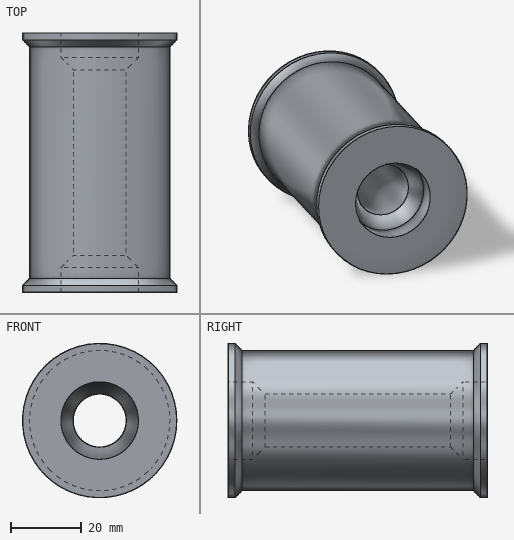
import cadquery as cq

length = 74.0
body_radius = 40.0 / 2
flange_radius = 44.0 / 2
flange_rim_width = 2.0
flange_taper_width = flange_radius - body_radius

mouth_radius = 22.1 / 2
bore_radius = 15.1 / 2
mouth_depth = 7.0
seat_depth = mouth_radius - bore_radius


def make_outer_shape():
    """Solid spool: cylindrical body with a tapered flange at each end."""
    end = length / 2
    rim_edge = end - flange_rim_width
    taper_edge = rim_edge - flange_taper_width
    profile = (
        cq.Workplane("XY")
        .moveTo(0, -end)
        .lineTo(flange_radius, -end)
        .lineTo(flange_radius, -rim_edge)
        .lineTo(body_radius, -taper_edge)
        .lineTo(body_radius, taper_edge)
        .lineTo(flange_radius, rim_edge)
        .lineTo(flange_radius, end)
        .lineTo(0, end)
        .close()
    )
    return profile.revolve(360, (0, 0, 0), (0, 1, 0))


def make_bore():
    """Through bore widened at both ends by conical seats and straight mouths."""
    end = length / 2
    seat_start = end - mouth_depth
    seat_end = seat_start - seat_depth
    profile = (
        cq.Workplane("XY")
        .moveTo(0, -end)
        .lineTo(mouth_radius, -end)
        .lineTo(mouth_radius, -seat_start)
        .lineTo(bore_radius, -seat_end)
        .lineTo(bore_radius, seat_end)
        .lineTo(mouth_radius, seat_start)
        .lineTo(mouth_radius, end)
        .lineTo(0, end)
        .close()
    )
    return profile.revolve(360, (0, 0, 0), (0, 1, 0))


result = make_outer_shape().cut(make_bore())